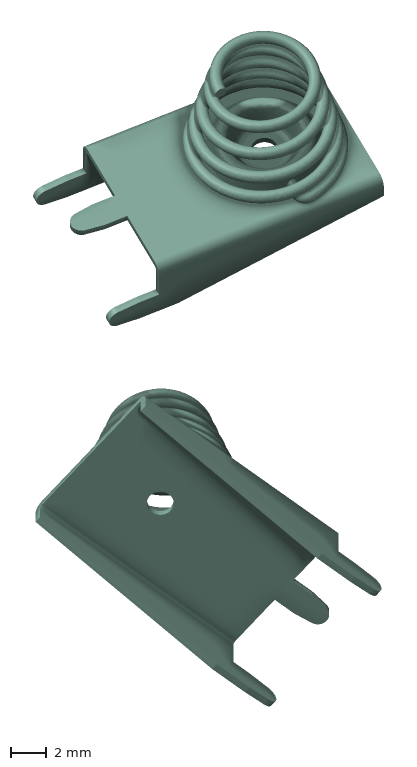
import cadquery as cq
import math


width = 9.7
sheet = 0.41
bend_radius = 0.6
back_y = 5.06
length = 17.1
tab_length = 3.11
tip_y = back_y - length
front_y = tip_y + tab_length
leg_depth = 4.0
back_depth = 1.54
slope_end_y = -7.73

tab_half_width = 0.79
leg_half_width = 0.77
tab_taper_length = 1.71
leg_taper_length = 1.93
round_length = 0.55
round_half_width = 0.63

hole_radius = 0.75
floor_radius = 1.23
wall_bottom = (1.66, 0.24)
wall_top = (1.95, 0.79)
rim_radius = 2.43
rim_height = 1.2
flank_top = (2.85, 0.97)
flank_bottom = (3.32, 0.24)
ring_base_radius = 3.57

wire_radius = 0.36
wire_embed = 0.02
base_coil_radius = 4.33
cone_slope = 0.24
spring_height = 7.4
lead_in_turns = 0.22
anchor_bend_radius = 0.51
anchor_end_x = 2.65
ease_start = 3.5
total_turns = 4.5
first_pitch = 1.1
pitch_growth = 0.139
points_per_turn = 16


def tongue(half_width, taper_length):
    """Outline along +X, ending at X = 0, narrowing to a rounded tip."""
    return (
        cq.Workplane("XY")
        .moveTo(-tab_length - sheet, -half_width)
        .lineTo(-taper_length, -half_width)
        .lineTo(-round_length, -round_half_width)
        .threePointArc((0, 0), (-round_length, round_half_width))
        .lineTo(-taper_length, half_width)
        .lineTo(-tab_length - sheet, half_width)
        .close()
        .extrude(sheet)
    )


def make_bracket():
    plate_length = back_y - front_y
    outer = (
        cq.Workplane("XY")
        .box(width, plate_length, leg_depth, centered=(True, False, False))
        .translate((0, front_y, -leg_depth))
        .edges("|Y and >Z")
        .fillet(bend_radius)
    )
    inner = (
        cq.Workplane("XY")
        .box(width - 2 * sheet, plate_length, leg_depth, centered=(True, False, False))
        .translate((0, front_y, -leg_depth - sheet))
        .edges("|Y and >Z")
        .fillet(bend_radius - sheet)
    )
    below_slope = (
        cq.Workplane("YZ")
        .moveTo(back_y, -back_depth)
        .lineTo(slope_end_y, -leg_depth)
        .lineTo(back_y, -leg_depth)
        .close()
        .extrude(width, both=True)
    )
    bracket = outer.cut(inner).cut(below_slope)

    tab = tongue(tab_half_width, tab_taper_length).rotate((0, 0, 0), (0, 0, 1), -90)
    bracket = bracket.union(tab.translate((0, tip_y, -sheet)))

    leg = (
        tongue(leg_half_width, leg_taper_length)
        .rotate((0, 0, 0), (1, 0, 0), 90)
        .rotate((0, 0, 0), (0, 0, 1), -90)
    )
    leg_z = -leg_depth + leg_half_width
    for outer_x in (-width / 2 + sheet, width / 2):
        bracket = bracket.union(leg.translate((outer_x, tip_y, leg_z)))
    return bracket


def make_ring():
    """Raised ring with a bowl inside, revolved about the hole axis."""
    flank_direction = (flank_bottom[0] - flank_top[0], flank_bottom[1] - flank_top[1])
    wall_direction = (wall_top[0] - wall_bottom[0], wall_top[1] - wall_bottom[1])
    return (
        cq.Workplane("XZ")
        .moveTo(floor_radius, -sheet / 2)
        .lineTo(floor_radius, 0)
        .spline([wall_bottom], tangents=[(1, 0), wall_direction], includeCurrent=True)
        .lineTo(*wall_top)
        .spline([(rim_radius, rim_height)], tangents=[wall_direction, (1, 0)], includeCurrent=True)
        .spline([flank_top], tangents=[(1, 0), flank_direction], includeCurrent=True)
        .lineTo(*flank_bottom)
        .lineTo(ring_base_radius, 0)
        .lineTo(ring_base_radius, -sheet / 2)
        .close()
        .revolve(360, (0, 0, 0), (0, 1, 0))
    )


def coil_rise(turns):
    """Height gained by the wire: flat lead-in, growing pitch, then easing at the top."""
    climbing = min(max(turns, 0), ease_start)
    rise = first_pitch * climbing + pitch_growth * climbing ** 2
    if turns > ease_start:
        easing = (turns - ease_start) / (total_turns - ease_start)
        pitch = first_pitch + 2 * pitch_growth * ease_start
        ease_turns = total_turns - ease_start
        top_rise = spring_height - 2 * wire_radius + wire_embed
        bend = top_rise - rise - pitch * ease_turns
        rise += pitch * ease_turns * easing + bend * easing ** 2
    return rise


def make_spring():
    steps = round((lead_in_turns + total_turns) * points_per_turn)
    points = []
    for step in range(steps + 1):
        turns = -lead_in_turns + (lead_in_turns + total_turns) * step / steps
        rise = coil_rise(turns)
        radius = base_coil_radius - cone_slope * rise
        angle = math.pi / 2 + 2 * math.pi * turns
        points.append(
            cq.Vector(
                radius * math.cos(angle),
                radius * math.sin(angle),
                wire_radius - wire_embed + rise,
            )
        )
    path = cq.Edge.makeSpline(points)
    section = cq.Plane(origin=path.startPoint(), xDir=(0, 0, 1), normal=path.tangentAt(0))
    coil = cq.Workplane(section).circle(wire_radius).sweep(cq.Workplane(path), isFrenet=True)

    start = points[0]
    start_angle = math.pi / 2 - 2 * math.pi * lead_in_turns
    middle_angle = (start_angle - math.pi / 2) / 2
    centre_distance = base_coil_radius - anchor_bend_radius
    bend_centre = cq.Vector(
        centre_distance * math.cos(start_angle),
        centre_distance * math.sin(start_angle),
        start.z,
    )
    bend_middle_x = bend_centre.x + anchor_bend_radius * math.cos(middle_angle)
    bend_middle_y = bend_centre.y + anchor_bend_radius * math.sin(middle_angle)
    bend_end_y = bend_centre.y - anchor_bend_radius
    anchor_path = (
        cq.Workplane("XY", origin=(0, 0, start.z))
        .moveTo(start.x, start.y)
        .threePointArc((bend_middle_x, bend_middle_y), (bend_centre.x, bend_end_y))
        .lineTo(anchor_end_x, bend_end_y)
    )
    inward_tangent = cq.Vector(math.sin(start_angle), -math.cos(start_angle), 0)
    anchor_section = cq.Plane(origin=start, xDir=(0, 0, 1), normal=inward_tangent)
    anchor = cq.Workplane(anchor_section).circle(wire_radius).sweep(anchor_path)
    return coil.union(anchor)


hole = cq.Workplane("XY").circle(hole_radius).extrude(2 * sheet, both=True)
result = make_bracket().union(make_ring()).cut(hole).union(make_spring())